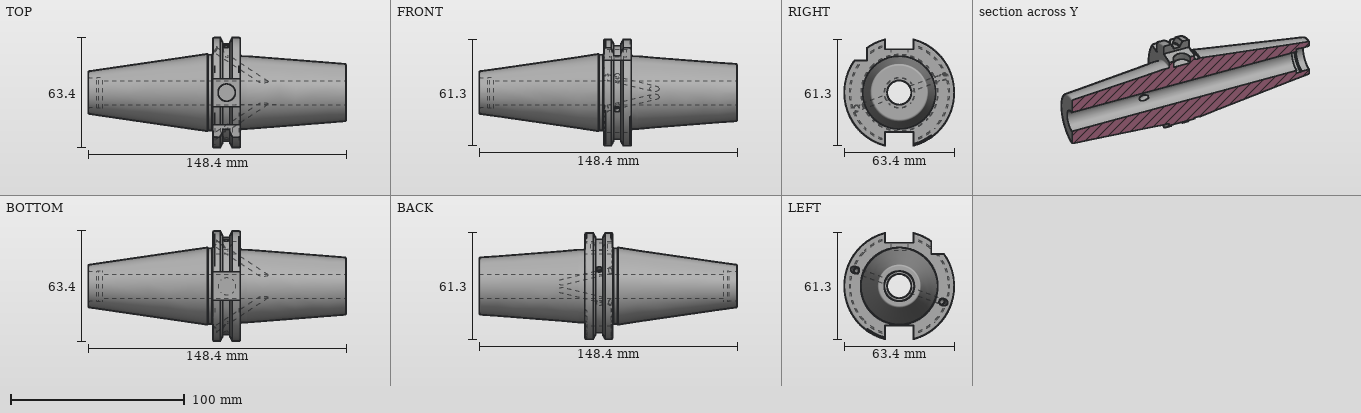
import cadquery as cq
import math


total_length = 148.4
taper_length = 68.4
flange_start = 71.7
flange_width = 15.9
flange_end = flange_start + flange_width

taper_ratio = 7 / 24
taper_large_radius = 44.5 / 2
taper_small_radius = taper_large_radius - taper_length * taper_ratio / 2
taper_end_fillet = 1.0
neck_radius = 43.8 / 2
neck_bevel = 0.52

flange_radius = 63.4 / 2
flange_edge_fillet = 1.0
groove_center = 79.4
groove_bottom_width = 3.9
groove_radius = 56.2 / 2
groove_wall_height = 0.7
groove_half_angle = 30
groove_wall_top = groove_radius + groove_wall_height
groove_bottom_half = groove_bottom_width / 2
groove_flank_width = (flange_radius - groove_wall_top) * math.tan(math.radians(groove_half_angle))
groove_top_half = groove_bottom_half + groove_flank_width

nose_radius = 42.0 / 2
nose_fillet = 0.7
nose_straight_end = 91.3
nose_half_angle = 4.5
nose_end_fillet = 1.2
nose_drop = (total_length - nose_straight_end) * math.tan(math.radians(nose_half_angle))
nose_tip_radius = nose_radius - nose_drop

bore_radius = 13.8 / 2
socket_radius = 17.0 / 2
socket_depth = 8.0
socket_mouth_fillet = 0.96
relief_radius = 17.7 / 2
relief_start = 4.7
relief_flare = 0.9

slot_width = 16.2
top_slot_floor = 25.0
bottom_slot_floor = 22.7
notch_side = 18.5
key_hole_diameter = 10.0
key_hole_depth = 4.5

coolant_angle = 20
coolant_circle_radius = 27.2
coolant_tilt = 35
coolant_mouth_diameter = 4.0
coolant_mouth_depth = 1.8
coolant_diameter = 3.3


def outer_body():
    """Revolved taper, flange and nose with rounded rims."""
    profile = (
        cq.Workplane("XY")
        .moveTo(0, 0)
        .lineTo(0, taper_small_radius)
        .lineTo(taper_length, taper_large_radius)
        .lineTo(taper_length + neck_bevel, neck_radius)
        .lineTo(flange_start - neck_bevel, neck_radius)
        .lineTo(flange_start, taper_large_radius)
        .lineTo(flange_start, flange_radius)
        .lineTo(groove_center - groove_top_half, flange_radius)
        .lineTo(groove_center - groove_bottom_half, groove_wall_top)
        .lineTo(groove_center - groove_bottom_half, groove_radius)
        .lineTo(groove_center + groove_bottom_half, groove_radius)
        .lineTo(groove_center + groove_bottom_half, groove_wall_top)
        .lineTo(groove_center + groove_top_half, flange_radius)
        .lineTo(flange_end, flange_radius)
        .lineTo(flange_end, nose_radius + nose_fillet)
        .radiusArc((flange_end + nose_fillet, nose_radius), -nose_fillet)
        .lineTo(nose_straight_end, nose_radius)
        .lineTo(total_length, nose_tip_radius)
        .lineTo(total_length, 0)
        .close()
    )
    body = profile.revolve(360, (0, 0, 0), (1, 0, 0))
    body = round_rim(body, 0, taper_small_radius, taper_end_fillet)
    body = round_rim(body, flange_start, flange_radius, flange_edge_fillet)
    body = round_rim(body, flange_end, flange_radius, flange_edge_fillet)
    return round_rim(body, total_length, nose_tip_radius, nose_end_fillet)


def round_rim(body, x, radius, fillet):
    """Round the circular edge of the given radius that lies at x."""
    margin = 0.07
    outer = radius + margin
    inner = radius - margin
    within = cq.selectors.BoxSelector(
        (x - margin, -outer, -outer), (x + margin, outer, outer), boundingbox=True
    )
    smaller = cq.selectors.BoxSelector(
        (x - margin, -inner, -inner), (x + margin, inner, inner), boundingbox=True
    )
    return body.edges(within - smaller).fillet(fillet)


def bore():
    """Through bore with a socket at the taper end that flares into a relief near its bottom."""
    profile = (
        cq.Workplane("XY")
        .moveTo(0, 0)
        .lineTo(0, socket_radius)
        .lineTo(relief_start, socket_radius)
        .lineTo(relief_start + relief_flare, relief_radius)
        .lineTo(socket_depth, relief_radius)
        .lineTo(socket_depth, bore_radius)
        .lineTo(total_length, bore_radius)
        .lineTo(total_length, 0)
        .close()
    )
    return profile.revolve(360, (0, 0, 0), (1, 0, 0))


def flange_block(y_low, y_high, z_low, z_high):
    """Block as wide as the flange, for cutting its rim."""
    return cq.Workplane("XY").box(
        flange_width, y_high - y_low, z_high - z_low, centered=False
    ).translate((flange_start, y_low, z_low))


def rim_cutouts():
    """Driving slots at the top and bottom, and the corner notch between top and front."""
    half = slot_width / 2
    top_slot = flange_block(-half, half, top_slot_floor, flange_radius)
    bottom_slot = flange_block(-half, half, -flange_radius, -bottom_slot_floor)
    notch = flange_block(-flange_radius, -notch_side, notch_side, flange_radius)
    return top_slot.union(bottom_slot).union(notch)


def key_hole():
    """Blind hole in the middle of the top slot floor."""
    hole = cq.Workplane("XY").circle(key_hole_diameter / 2).extrude(key_hole_depth)
    return hole.translate((flange_start + flange_width / 2, 0, top_slot_floor - key_hole_depth))


def rod(start, direction, diameter, length):
    """Solid cylinder used to drill a hole."""
    return cq.Workplane(cq.Solid.makeCylinder(diameter / 2, length, start, direction))


def coolant_holes():
    """Two opposite sets, each an inclined hole met by a radial hole from the groove."""
    tilt = math.radians(coolant_tilt)
    inward = cq.Vector(math.cos(tilt), -math.sin(tilt), 0)
    mouth = cq.Vector(flange_start, coolant_circle_radius, 0)
    overrun = inward * coolant_mouth_diameter
    length_to_axis = coolant_circle_radius / math.sin(tilt)
    inclined = rod(mouth, inward, coolant_diameter, length_to_axis)
    widened = rod(
        mouth - overrun, inward, coolant_mouth_diameter, coolant_mouth_depth + overrun.Length
    )
    crossing = coolant_circle_radius - (groove_center - flange_start) * math.tan(tilt)
    radial = rod(
        cq.Vector(groove_center, crossing, 0),
        cq.Vector(0, 1, 0),
        coolant_diameter,
        flange_radius - crossing,
    )
    one_side = inclined.union(widened).union(radial)
    turned = one_side.rotate((0, 0, 0), (1, 0, 0), coolant_angle)
    return turned.union(turned.rotate((0, 0, 0), (1, 0, 0), 180))


holder = (
    outer_body()
    .cut(bore())
    .cut(rim_cutouts())
    .cut(key_hole())
    .cut(coolant_holes())
)
socket_mouth = cq.selectors.RadiusNthSelector(0)
result = holder.faces("<X").edges(socket_mouth).fillet(socket_mouth_fillet)